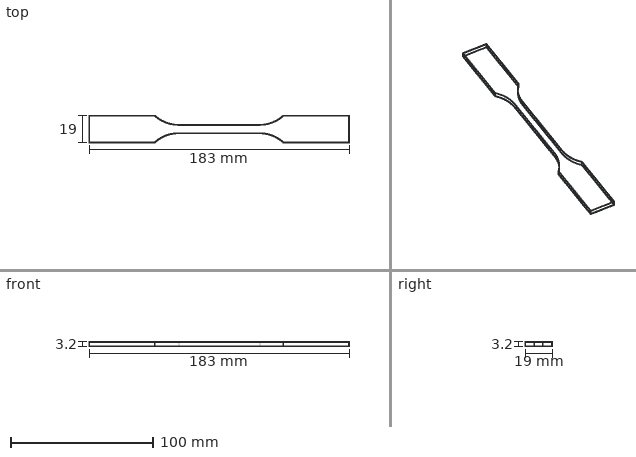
import cadquery as cq
import math

overall_length = 183.0
grip_width = 19.0
thickness = 3.2
narrow_width = 6.0
narrow_length = 57.0
shoulder_radius = 25.0

half_length = overall_length / 2
half_grip = grip_width / 2
half_narrow = narrow_width / 2
half_gauge = narrow_length / 2

shoulder_rise = half_grip - half_narrow
shoulder_angle = math.acos(1 - shoulder_rise / shoulder_radius)
shoulder_end = half_gauge + shoulder_radius * math.sin(shoulder_angle)
shoulder_mid = half_gauge + shoulder_radius * math.sin(shoulder_angle / 2)
shoulder_mid_height = half_narrow + shoulder_radius * (1 - math.cos(shoulder_angle / 2))


def specimen_outline():
    """Dogbone outline, drawn as its upper half and mirrored about the X axis."""
    return (
        cq.Workplane("XY")
        .moveTo(-half_length, 0)
        .lineTo(-half_length, half_grip)
        .lineTo(-shoulder_end, half_grip)
        .threePointArc((-shoulder_mid, shoulder_mid_height), (-half_gauge, half_narrow))
        .lineTo(half_gauge, half_narrow)
        .threePointArc((shoulder_mid, shoulder_mid_height), (shoulder_end, half_grip))
        .lineTo(half_length, half_grip)
        .lineTo(half_length, 0)
        .mirrorX()
    )


result = specimen_outline().extrude(thickness)